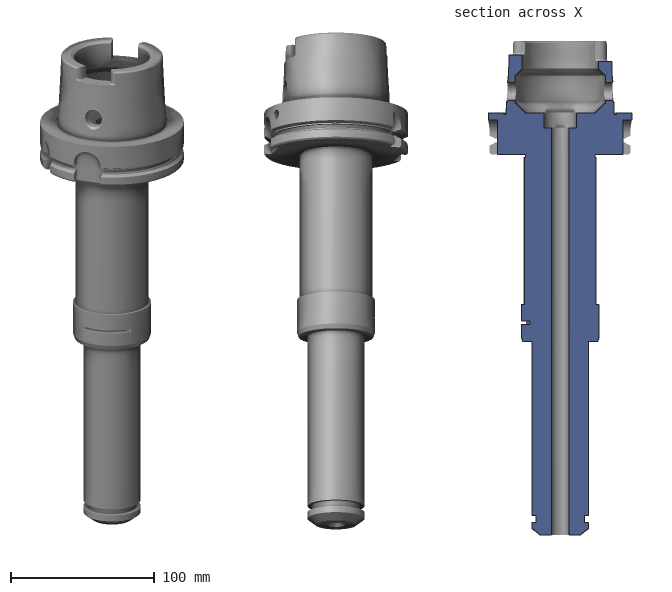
import cadquery as cq
import math


TAPER_LENGTH = 50.0
TAPER_BASE_RADIUS = 38.0
TAPER_TOP_RADIUS = 35.5
TAPER_EDGE_CHAMFER = 1.0
BASE_BAND_HEIGHT = 2.0

FACE_GROOVE_RADIUS = 39.2
FACE_GROOVE_DEPTH = 1.0

FLANGE_RADIUS = 100.0 / 2
FLANGE_THICKNESS = 29.2
FLANGE_CHAMFER = 1.0
GRIP_GROOVE_CENTER_Z = -19.5
GRIP_GROOVE_MOUTH = 6.5
GRIP_GROOVE_SHOULDER = 4.0
GRIP_GROOVE_SHOULDER_RADIUS = 47.0
GRIP_GROOVE_ROOT = 2.8
GRIP_GROOVE_ROOT_RADIUS = 45.0

NECK_RADIUS = 48.5 / 2
NECK_LENGTH = 1.7
SHANK_RADIUS = 50.5 / 2
COLLAR_RADIUS = 54.5 / 2
COLLAR_TOP_Z = -133.5
COLLAR_BOTTOM_Z = -159.5
COLLAR_CHAMFER_HEIGHT = 3.0
COLLAR_CHAMFER_WIDTH = 1.0
PILOT_RADIUS = 40.0 / 2
RING_GROOVE_RADIUS = 34.0 / 2
RING_GROOVE_TOP_Z = -280.7
RING_GROOVE_WIDTH = 4.5
TOTAL_LENGTH = 344
TIP_RADIUS = 28.2 / 2
TIP_CHAMFER_HEIGHT = 4.5

BORE_RADIUS = 53.0 / 2
BORE_DEPTH = 19.3
UNDERCUT_RADIUS = 31.3
UNDERCUT_FLOOR_DEPTH = 43.0
BORE_CHAMFER_WIDTH = 2.0
BORE_CHAMFER_HEIGHT = 1.5
FLOOR_RADIUS = 48.5 / 2
FLOOR_DEPTH = TAPER_LENGTH
COUNTERBORE_RADIUS = 22.5 / 2
COUNTERBORE_DEPTH = 10.3
COOLANT_RADIUS = 12.0 / 2

CROSS_HOLE_RADIUS = 12.0 / 2
CROSS_HOLE_MOUTH_RADIUS = 14.0 / 2
CROSS_HOLE_Z = 14.8

SLOT_HALF_WIDTH = 20.0 / 2
FRONT_SLOT_DEPTH = 9.5
BACK_SLOT_DEPTH = 14.0
SLOT_FLARE_RADIUS = 5.0
SLOT_FLARE_Y = 32.7
SLOT_FLOOR_FILLET = 1.5

KEYWAY_RADIUS = 20.0 / 2
KEYWAY_TOP_Z = -5.0
KEYWAY_FLOOR_Y = 44.0
NOTCH_WALL = 31.3

CHIP_HOLE_RADIUS = 7.0 / 2
CHIP_HOLE_DEPTH = 4.0
CHIP_HOLE_Z = -7.2
CHIP_HOLE_ANGLE = 110

COLLAR_CUT_ANGLE = -80
COLLAR_CUT_FLOOR = 21.0
COLLAR_CUT_HEIGHT = 2.0
COLLAR_CUT_Z = -146.2


def revolve_profile(points):
    """Revolve an outline of (radius, Z) points around the Z axis."""
    return cq.Workplane("XZ").polyline(points).close().revolve(360, (0, 0, 0), (0, 1, 0))


def make_body():
    """Outside shape of the tool, without its cuts."""
    flange_bottom = -FLANGE_THICKNESS
    tip = TAPER_LENGTH - TOTAL_LENGTH
    mouth = GRIP_GROOVE_MOUTH / 2
    shoulder = GRIP_GROOVE_SHOULDER / 2
    root = GRIP_GROOVE_ROOT / 2
    ring_groove_bottom = RING_GROOVE_TOP_Z - RING_GROOVE_WIDTH
    return revolve_profile([
        (0, TAPER_LENGTH),
        (TAPER_TOP_RADIUS - TAPER_EDGE_CHAMFER, TAPER_LENGTH),
        (TAPER_TOP_RADIUS, TAPER_LENGTH - TAPER_EDGE_CHAMFER),
        (TAPER_BASE_RADIUS, BASE_BAND_HEIGHT),
        (TAPER_BASE_RADIUS, -FACE_GROOVE_DEPTH),
        (FACE_GROOVE_RADIUS, -FACE_GROOVE_DEPTH),
        (FACE_GROOVE_RADIUS, 0),
        (FLANGE_RADIUS, 0),
        (FLANGE_RADIUS, GRIP_GROOVE_CENTER_Z + mouth),
        (GRIP_GROOVE_SHOULDER_RADIUS, GRIP_GROOVE_CENTER_Z + shoulder),
        (GRIP_GROOVE_SHOULDER_RADIUS, GRIP_GROOVE_CENTER_Z + root),
        (GRIP_GROOVE_ROOT_RADIUS, GRIP_GROOVE_CENTER_Z + root),
        (GRIP_GROOVE_ROOT_RADIUS, GRIP_GROOVE_CENTER_Z - root),
        (GRIP_GROOVE_SHOULDER_RADIUS, GRIP_GROOVE_CENTER_Z - root),
        (GRIP_GROOVE_SHOULDER_RADIUS, GRIP_GROOVE_CENTER_Z - shoulder),
        (FLANGE_RADIUS, GRIP_GROOVE_CENTER_Z - mouth),
        (FLANGE_RADIUS, flange_bottom + FLANGE_CHAMFER),
        (FLANGE_RADIUS - FLANGE_CHAMFER, flange_bottom),
        (NECK_RADIUS, flange_bottom),
        (NECK_RADIUS, flange_bottom - NECK_LENGTH),
        (SHANK_RADIUS, flange_bottom - NECK_LENGTH),
        (SHANK_RADIUS, COLLAR_TOP_Z),
        (COLLAR_RADIUS, COLLAR_TOP_Z),
        (COLLAR_RADIUS, COLLAR_BOTTOM_Z + COLLAR_CHAMFER_HEIGHT),
        (COLLAR_RADIUS - COLLAR_CHAMFER_WIDTH, COLLAR_BOTTOM_Z),
        (PILOT_RADIUS, COLLAR_BOTTOM_Z),
        (PILOT_RADIUS, RING_GROOVE_TOP_Z),
        (RING_GROOVE_RADIUS, RING_GROOVE_TOP_Z),
        (RING_GROOVE_RADIUS, ring_groove_bottom),
        (PILOT_RADIUS, ring_groove_bottom),
        (PILOT_RADIUS, tip + TIP_CHAMFER_HEIGHT),
        (TIP_RADIUS, tip),
        (0, tip),
    ])


def make_bore():
    """Stepped cavity of the taper and the coolant hole through the tip."""
    mouth_end = TAPER_LENGTH - BORE_DEPTH
    undercut_width = UNDERCUT_RADIUS - BORE_RADIUS
    floor = TAPER_LENGTH - FLOOR_DEPTH
    counterbore_floor = floor - COUNTERBORE_DEPTH
    tip = TAPER_LENGTH - TOTAL_LENGTH
    return revolve_profile([
        (0, TAPER_LENGTH),
        (BORE_RADIUS + BORE_CHAMFER_WIDTH, TAPER_LENGTH),
        (BORE_RADIUS, TAPER_LENGTH - BORE_CHAMFER_HEIGHT),
        (BORE_RADIUS, mouth_end),
        (UNDERCUT_RADIUS, mouth_end - undercut_width),
        (UNDERCUT_RADIUS, TAPER_LENGTH - UNDERCUT_FLOOR_DEPTH),
        (FLOOR_RADIUS, floor),
        (COUNTERBORE_RADIUS, floor),
        (COUNTERBORE_RADIUS, counterbore_floor),
        (COOLANT_RADIUS, counterbore_floor),
        (COOLANT_RADIUS, tip),
        (0, tip),
    ])


def make_cross_hole():
    """Hole along Y through the taper wall on the -Y side, countersunk at its mouth."""
    taper_slope = (TAPER_BASE_RADIUS - TAPER_TOP_RADIUS) / TAPER_LENGTH
    wall_y = TAPER_BASE_RADIUS - taper_slope * CROSS_HOLE_Z
    countersink = CROSS_HOLE_MOUTH_RADIUS - CROSS_HOLE_RADIUS
    clear_of_wall = wall_y + countersink
    outline = [
        (0, 0),
        (CROSS_HOLE_RADIUS, 0),
        (CROSS_HOLE_RADIUS, countersink - wall_y),
        (CROSS_HOLE_MOUTH_RADIUS + countersink, -clear_of_wall),
        (0, -clear_of_wall),
    ]
    hole = cq.Workplane("XY").polyline(outline).close().revolve(360, (0, 0, 0), (0, 1, 0))
    return hole.translate((0, 0, CROSS_HOLE_Z))


def make_drive_slot(side, depth):
    """Slot in the taper rim on the given Y side, flared outwards by rounded corners."""
    outer_half_width = SLOT_HALF_WIDTH + SLOT_FLARE_RADIUS
    flare_start_y = SLOT_FLARE_Y - SLOT_FLARE_RADIUS
    flare_mid_x = outer_half_width - SLOT_FLARE_RADIUS * math.cos(math.radians(45))
    flare_mid_y = flare_start_y + SLOT_FLARE_RADIUS * math.sin(math.radians(45))
    return (
        cq.Workplane("XY", origin=(0, 0, TAPER_LENGTH - depth))
        .moveTo(-SLOT_HALF_WIDTH, 0)
        .lineTo(SLOT_HALF_WIDTH, 0)
        .lineTo(SLOT_HALF_WIDTH, side * flare_start_y)
        .threePointArc((flare_mid_x, side * flare_mid_y), (outer_half_width, side * SLOT_FLARE_Y))
        .lineTo(outer_half_width, side * FLANGE_RADIUS)
        .lineTo(-outer_half_width, side * FLANGE_RADIUS)
        .lineTo(-outer_half_width, side * SLOT_FLARE_Y)
        .threePointArc((-flare_mid_x, side * flare_mid_y), (-SLOT_HALF_WIDTH, side * flare_start_y))
        .close()
        .extrude(depth)
        .edges("<Z")
        .fillet(SLOT_FLOOR_FILLET)
    )


def make_keyway(center_x, floor_y, side):
    """Round-topped keyway open at the flange bottom, cut along Y from the given side."""
    arc_center_z = KEYWAY_TOP_Z - KEYWAY_RADIUS
    depth = FLANGE_RADIUS - floor_y
    return (
        cq.Workplane("XZ", origin=(center_x, side * floor_y, 0))
        .moveTo(-KEYWAY_RADIUS, -FLANGE_THICKNESS)
        .lineTo(KEYWAY_RADIUS, -FLANGE_THICKNESS)
        .lineTo(KEYWAY_RADIUS, arc_center_z)
        .threePointArc((0, KEYWAY_TOP_Z), (-KEYWAY_RADIUS, arc_center_z))
        .close()
        .extrude(-side * depth)
    )


def make_chip_hole():
    """Shallow radial hole in the flange rim."""
    start = FLANGE_RADIUS - CHIP_HOLE_DEPTH
    hole = (
        cq.Workplane("YZ", origin=(start, 0, CHIP_HOLE_Z))
        .circle(CHIP_HOLE_RADIUS)
        .extrude(CHIP_HOLE_DEPTH)
    )
    return hole.rotate((0, 0, 0), (0, 0, 1), CHIP_HOLE_ANGLE)


def make_collar_cut():
    """Narrow flat-bottomed cut across the collar."""
    cut = (
        cq.Workplane("XY")
        .box(COLLAR_RADIUS, 2 * COLLAR_RADIUS, COLLAR_CUT_HEIGHT, centered=(False, True, True))
        .translate((COLLAR_CUT_FLOOR, 0, COLLAR_CUT_Z))
    )
    return cut.rotate((0, 0, 0), (0, 0, 1), COLLAR_CUT_ANGLE)


result = make_body().cut(make_bore())
result = result.cut(make_cross_hole()).cut(make_cross_hole().rotate((0, 0, 0), (0, 0, 1), 180))
for side, slot_depth in ((-1, FRONT_SLOT_DEPTH), (1, BACK_SLOT_DEPTH)):
    result = result.cut(make_drive_slot(side, slot_depth))
    result = result.cut(make_keyway(0, KEYWAY_FLOOR_Y, side))
result = result.cut(make_keyway(-NOTCH_WALL - KEYWAY_RADIUS, NOTCH_WALL, -1))
result = result.cut(make_chip_hole()).cut(make_collar_cut())